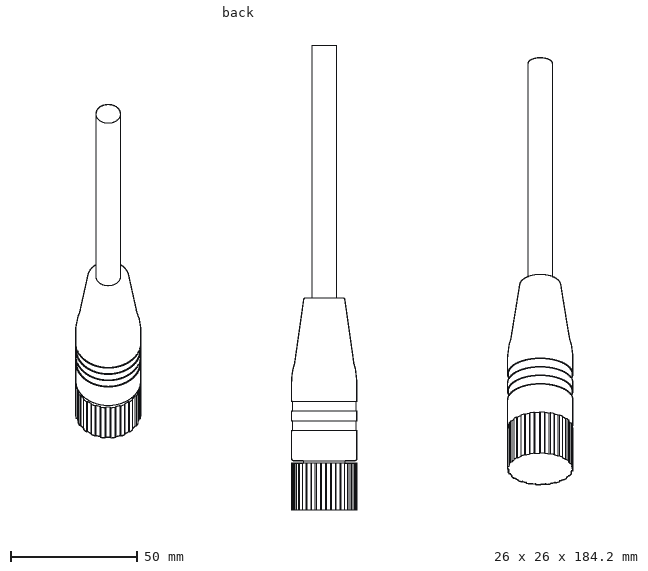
import cadquery as cq
import math

TOTAL_HEIGHT = 184.2
OUTER_DIAMETER = 26.0
OUTER_RADIUS = OUTER_DIAMETER / 2

CABLE_DIAMETER = 9.8
CABLE_LENGTH = 100.0

NUT_HEIGHT = 18.6
KNURL_COUNT = 20
KNURL_PITCH = 360 / KNURL_COUNT
KNURL_DEPTH = 0.4
KNURL_START_ANGLE = 7.4
KNURL_FLOOR_SPAN = 7.5
KNURL_MOUTH_SPAN = 11.0

NECK_RADIUS = 8.3
NECK_HEIGHT = 1.0

GRIP_BOTTOM_Z = NUT_HEIGHT + NECK_HEIGHT
GRIP_TOP_Z = TOTAL_HEIGHT - CABLE_LENGTH
GRIP_TOP_RADIUS = 8.1
GRIP_EDGE_FILLET = 1.0
SHOULDER_BOTTOM_Z = 51.0
SHOULDER_HEIGHT = 7.2
SHOULDER_TOP_Z = SHOULDER_BOTTOM_Z + SHOULDER_HEIGHT
SHOULDER_TOP_RADIUS = 11.8

BAND_COUNT = 2
BAND_BOTTOM_Z = 31.5
BAND_WIDTH = 3.9
BAND_PITCH = 2 * BAND_WIDTH
BAND_DEPTH = 0.4


def disc(radius, bottom_z, height):
    """Solid cylinder on the Z axis."""
    return cq.Workplane("XY").workplane(offset=bottom_z).circle(radius).extrude(height)


def polar_point(radius, angle):
    """XY point at the given radius and angle in degrees."""
    turn = math.radians(angle)
    return radius * math.cos(turn), radius * math.sin(turn)


def make_cable():
    return disc(CABLE_DIAMETER / 2, GRIP_TOP_Z, CABLE_LENGTH)


def make_grip_blank():
    """Revolved grip with rounded top and bottom edges."""
    blank = (
        cq.Workplane("XZ")
        .moveTo(0, GRIP_BOTTOM_Z)
        .lineTo(OUTER_RADIUS, GRIP_BOTTOM_Z)
        .lineTo(OUTER_RADIUS, SHOULDER_BOTTOM_Z)
        .tangentArcPoint((SHOULDER_TOP_RADIUS, SHOULDER_TOP_Z), relative=False)
        .lineTo(GRIP_TOP_RADIUS, GRIP_TOP_Z)
        .lineTo(0, GRIP_TOP_Z)
        .close()
        .revolve(360, (0, 0, 0), (0, 1, 0))
    )
    return blank.faces("<Z or >Z").edges().fillet(GRIP_EDGE_FILLET)


def make_band_groove(bottom_z):
    """Ring of material to remove for one band groove."""
    outside = disc(OUTER_RADIUS + BAND_DEPTH, bottom_z, BAND_WIDTH)
    core = disc(OUTER_RADIUS - BAND_DEPTH, bottom_z, BAND_WIDTH)
    return outside.cut(core)


def make_grip():
    grip = make_grip_blank()
    for index in range(BAND_COUNT):
        grip = grip.cut(make_band_groove(BAND_BOTTOM_Z + index * BAND_PITCH))
    return grip.union(disc(NECK_RADIUS, NUT_HEIGHT, NECK_HEIGHT))


def make_knurl_groove(angle):
    """Flared groove centred on the given angle, with a floor concentric with the nut."""
    floor_radius = OUTER_RADIUS - KNURL_DEPTH
    half_floor = KNURL_FLOOR_SPAN / 2
    half_mouth = KNURL_MOUTH_SPAN / 2
    bulge_radius = OUTER_RADIUS + KNURL_DEPTH
    return (
        cq.Workplane("XY")
        .moveTo(*polar_point(floor_radius, angle - half_floor))
        .threePointArc(polar_point(floor_radius, angle), polar_point(floor_radius, angle + half_floor))
        .lineTo(*polar_point(OUTER_RADIUS, angle + half_mouth))
        .threePointArc(polar_point(bulge_radius, angle), polar_point(OUTER_RADIUS, angle - half_mouth))
        .close()
        .extrude(NUT_HEIGHT)
    )


def make_nut():
    nut = disc(OUTER_RADIUS, 0, NUT_HEIGHT)
    for index in range(KNURL_COUNT):
        nut = nut.cut(make_knurl_groove(KNURL_START_ANGLE + index * KNURL_PITCH))
    return nut


cable = make_cable()
grip = make_grip()
nut = make_nut()

result = cq.Compound.makeCompound([cable.val(), grip.val(), nut.val()])